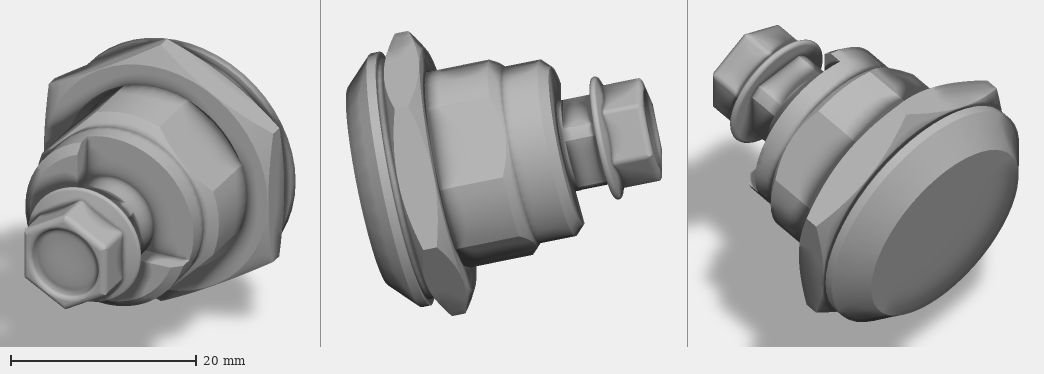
import cadquery as cq
import math


overall_length = 31.5

head_diameter = 28.0
head_thickness = 4.0
head_bevel = 3.0
bead_diameter = 26.62
bead_height = 0.75

barrel_diameter = 22.0
barrel_bevel_station = 15.75
barrel_across_flats = 20.0

stop_diameter = 19.5
stop_floor_station = 19.5
stop_end_station = 22.0
stop_chamfer = 1.0
stop_wall_offset = 3.0

nut_across_flats = 27.0
nut_thickness = 4.0
nut_face_diameter = 26.85
nut_bevel_angle = 30.0
nut_bore_diameter = 20.38

shaft_diameter = 10.0
shaft_round_end_station = 22.5
shaft_end_station = 26.0
shaft_across_flats = 8.0

bolt_across_flats = 10.0
bolt_edge_radius = 0.7
bolt_flange_diameter = 13.55
bolt_flange_rim_radius = 0.38
bolt_flange_angle = 20.8

dish_wall_diameter = 8.0
dish_radius = 0.5
dish_depth = 1.0

head_radius = head_diameter / 2
barrel_radius = barrel_diameter / 2
stop_radius = stop_diameter / 2
shaft_radius = shaft_diameter / 2
nut_bore_radius = nut_bore_diameter / 2
nut_start_station = head_thickness + bead_height
nut_end_station = nut_start_station + nut_thickness
nut_bore_chamfer = barrel_radius - nut_bore_radius
barrel_end_station = barrel_bevel_station + barrel_radius - stop_radius
bolt_length = overall_length - shaft_end_station


def plane_at(station):
    """Workplane at a station, with local x along X, local y along Z and its normal along -Y."""
    return cq.Workplane("XZ", origin=(0, -station, 0))


def revolve_profile(points):
    """Solid of revolution about Y from a closed outline of (radius, station) points."""
    outline = [(radius, -station) for radius, station in points]
    return cq.Workplane("XY").polyline(outline).close().revolve(360, (0, 0, 0), (0, 1, 0))


def hexagonal_prism(across_flats, start_station, length):
    """Hexagonal prism with two flats facing +X and -X and two corners on the Z axis."""
    across_corners = across_flats / math.cos(math.pi / 6)
    return plane_at(start_station).transformed(rotate=(0, 0, 90)).polygon(6, across_corners).extrude(length)


def square_prism(across_flats, start_station, length, turn=0):
    """Square prism along the axis, turned about it by an angle in degrees."""
    return plane_at(start_station).transformed(rotate=(0, 0, turn)).rect(across_flats, across_flats).extrude(length)


def make_head():
    bevel = head_radius - head_bevel
    head = revolve_profile([
        (0, 0),
        (bevel, 0),
        (head_radius, head_bevel),
        (head_radius, head_thickness),
        (0, head_thickness),
    ])
    bead_radius = bead_diameter / 2
    bead_flat_radius = bead_radius - bead_height
    arc_offset = bead_height * math.sin(math.pi / 4)
    bead = (
        cq.Workplane("XY")
        .moveTo(0, -head_thickness)
        .lineTo(bead_radius, -head_thickness)
        .threePointArc(
            (bead_flat_radius + arc_offset, -head_thickness - arc_offset),
            (bead_flat_radius, -nut_start_station),
        )
        .lineTo(0, -nut_start_station)
        .close()
        .revolve(360, (0, 0, 0), (0, 1, 0))
    )
    return head.union(bead)


def make_barrel():
    """Barrel with four flats, necked where the nut sits so that it fills the nut's bore."""
    turned = revolve_profile([
        (0, nut_start_station),
        (barrel_radius, nut_start_station),
        (nut_bore_radius, nut_start_station + nut_bore_chamfer),
        (nut_bore_radius, nut_end_station - nut_bore_chamfer),
        (barrel_radius, nut_end_station),
        (barrel_radius, barrel_bevel_station),
        (stop_radius, barrel_end_station),
        (0, barrel_end_station),
    ])
    length = barrel_end_station - nut_start_station
    return turned.intersect(square_prism(barrel_across_flats, nut_start_station, length, turn=45))


def make_stop():
    """Chamfered end section, cut down to the stop floor on its +X, +Z side."""
    stop = revolve_profile([
        (0, barrel_end_station),
        (stop_radius, barrel_end_station),
        (stop_radius, stop_end_station - stop_chamfer),
        (stop_radius - stop_chamfer, stop_end_station),
        (0, stop_end_station),
    ])
    notch = (
        plane_at(stop_floor_station)
        .rect(stop_diameter, stop_diameter, centered=False)
        .extrude(stop_end_station - stop_floor_station)
        .translate((-stop_wall_offset, 0, -stop_wall_offset))
    )
    return stop.cut(notch)


def make_housing():
    shaft_socket = (
        plane_at(head_thickness).circle(shaft_radius).extrude(stop_end_station - head_thickness)
    )
    return make_head().union(make_barrel()).union(make_stop()).cut(shaft_socket)


def make_nut():
    corner_radius = nut_across_flats / 2 / math.cos(math.pi / 6)
    face_radius = nut_face_diameter / 2
    bevel_height = (corner_radius - face_radius) * math.tan(math.radians(nut_bevel_angle))
    envelope = revolve_profile([
        (nut_bore_radius, nut_start_station + nut_bore_chamfer),
        (barrel_radius, nut_start_station),
        (face_radius, nut_start_station),
        (corner_radius, nut_start_station + bevel_height),
        (corner_radius, nut_end_station - bevel_height),
        (face_radius, nut_end_station),
        (barrel_radius, nut_end_station),
        (nut_bore_radius, nut_end_station - nut_bore_chamfer),
    ])
    return hexagonal_prism(nut_across_flats, nut_start_station, nut_thickness).intersect(envelope)


def make_shaft():
    round_part = (
        plane_at(head_thickness).circle(shaft_radius).extrude(shaft_round_end_station - head_thickness)
    )
    square_length = shaft_end_station - shaft_round_end_station
    square_part = (
        plane_at(shaft_round_end_station)
        .circle(shaft_radius)
        .extrude(square_length)
        .intersect(square_prism(shaft_across_flats, shaft_round_end_station, square_length))
    )
    return round_part.union(square_part)


def make_bolt_flange():
    """Flange with a round rim that runs tangentially into a cone."""
    slope = math.radians(bolt_flange_angle)
    rim_center_radius = bolt_flange_diameter / 2 - bolt_flange_rim_radius
    rim_center_station = shaft_end_station + bolt_flange_rim_radius
    cone_start_radius = rim_center_radius + bolt_flange_rim_radius * math.sin(slope)
    cone_start_station = rim_center_station + bolt_flange_rim_radius * math.cos(slope)
    cone_end_radius = bolt_across_flats / 2 - bolt_edge_radius
    cone_end_station = cone_start_station + (cone_start_radius - cone_end_radius) * math.tan(slope)
    return (
        cq.Workplane("XY")
        .moveTo(0, -shaft_end_station)
        .lineTo(rim_center_radius, -shaft_end_station)
        .threePointArc(
            (bolt_flange_diameter / 2, -rim_center_station),
            (cone_start_radius, -cone_start_station),
        )
        .lineTo(cone_end_radius, -cone_end_station)
        .lineTo(0, -cone_end_station)
        .close()
        .revolve(360, (0, 0, 0), (0, 1, 0))
    )


def make_bolt_dish():
    """Cutter for the dish: a flat floor with a rounded edge and a rounded lip."""
    wall_radius = dish_wall_diameter / 2
    floor_radius = wall_radius - dish_radius
    lip_radius = wall_radius + dish_radius
    floor_station = overall_length - dish_depth
    arc_offset = dish_radius * math.sin(math.pi / 4)
    return (
        cq.Workplane("XY")
        .moveTo(0, -floor_station)
        .lineTo(floor_radius, -floor_station)
        .threePointArc(
            (floor_radius + arc_offset, -floor_station - dish_radius + arc_offset),
            (wall_radius, -floor_station - dish_radius),
        )
        .threePointArc(
            (lip_radius - arc_offset, -overall_length + dish_radius - arc_offset),
            (lip_radius, -overall_length),
        )
        .lineTo(0, -overall_length)
        .close()
        .revolve(360, (0, 0, 0), (0, 1, 0))
    )


def make_bolt():
    """Flanged head whose rounded end edges meet in mitres at the rounded corners."""
    hexagon = hexagonal_prism(bolt_across_flats, shaft_end_station, bolt_length)
    round_cornered = hexagon.edges("|Y").fillet(bolt_edge_radius)
    round_ended = hexagon.faces("<Y").edges().fillet(bolt_edge_radius)
    head = round_cornered.intersect(round_ended)
    return head.union(make_bolt_flange()).cut(make_bolt_dish())


housing = make_housing()
nut = make_nut()
shaft = make_shaft()
bolt = make_bolt()

result = cq.Compound.makeCompound([housing.val(), nut.val(), shaft.val(), bolt.val()])